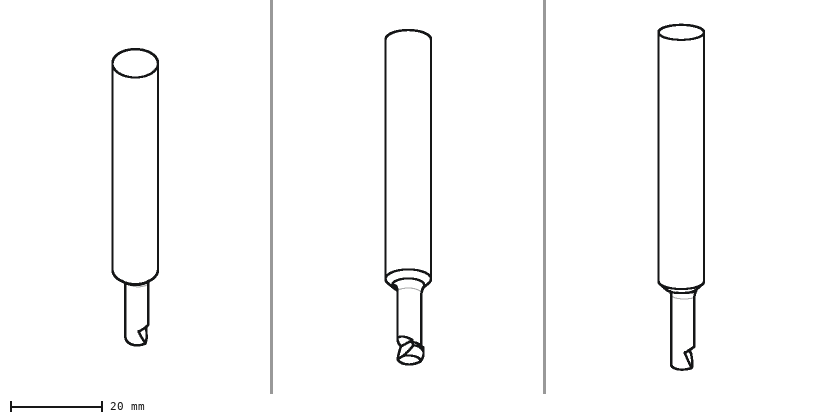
import cadquery as cq
import math

total_length = 77.95
shank_radius = 5.0
shank_bottom = 20.3

neck_radius = 2.9
relief_offset = 1.5
neck_top = 16.75
shoulder_height = 18.8
neck_flare = 0.6
flare_bulge = 0.1

tip_radius = neck_radius + relief_offset
tip_height = 2.3
ridge_top = tip_height + tip_radius - neck_radius
end_rim_radius = 2.65
end_rim_height = tip_height - (tip_radius - end_rim_radius)

rake_angle = 19.0
gullet_root_height = 4.3
gullet_root_x = 0.9
gullet_lean = 0.39
gullet_roof_slope = 0.55
gullet_reach = 15.6


def make_turned_body():
    """Shank, flared neck, V ridge and shallow conical end, all turned about the shank axis."""
    flare_radius = neck_radius + neck_flare
    flare_middle = (neck_radius + neck_flare / 2 - flare_bulge, (neck_top + shoulder_height) / 2)
    return (
        cq.Workplane("XZ")
        .moveTo(0, 0)
        .lineTo(end_rim_radius, end_rim_height)
        .lineTo(tip_radius, tip_height)
        .lineTo(neck_radius, ridge_top)
        .lineTo(neck_radius, neck_top)
        .threePointArc(flare_middle, (flare_radius, shoulder_height))
        .lineTo(shank_radius, shank_bottom)
        .lineTo(shank_radius, total_length)
        .lineTo(0, total_length)
        .close()
        .revolve(360, (0, 0, 0), (0, 1, 0))
    )


def make_relief_envelope():
    """Offset cylinder with a filleted shoulder; it trims the -Y side of the neck and head."""
    fillet_radius = shoulder_height - neck_top
    diagonal = math.sqrt(0.5)
    envelope_radius = 2 * shank_radius
    fillet_middle = (
        neck_radius + fillet_radius * (1 - diagonal),
        neck_top + fillet_radius * diagonal,
    )
    return (
        cq.Workplane("XZ")
        .moveTo(0, 0)
        .lineTo(neck_radius, 0)
        .lineTo(neck_radius, neck_top)
        .threePointArc(fillet_middle, (neck_radius + fillet_radius, shoulder_height))
        .lineTo(envelope_radius, shoulder_height)
        .lineTo(envelope_radius, total_length)
        .lineTo(0, total_length)
        .close()
        .revolve(360, (0, 0, 0), (0, 1, 0))
        .translate((0, relief_offset, 0))
    )


def make_gullet():
    """Wedge that leaves a leaning rake face and a sloping roof above it."""
    outer_x = gullet_reach
    roof_outer_height = gullet_root_height + gullet_roof_slope * (outer_x - gullet_root_x)
    floor_height = -gullet_root_height
    rake_floor_x = gullet_root_x + gullet_lean * (gullet_root_height - floor_height)
    return (
        cq.Workplane("XZ")
        .moveTo(gullet_root_x, gullet_root_height)
        .lineTo(outer_x, roof_outer_height)
        .lineTo(outer_x, floor_height)
        .lineTo(rake_floor_x, floor_height)
        .close()
        .extrude(gullet_reach, both=True)
        .rotate((0, 0, 0), (0, 0, 1), rake_angle)
    )


result = make_turned_body().intersect(make_relief_envelope()).cut(make_gullet())